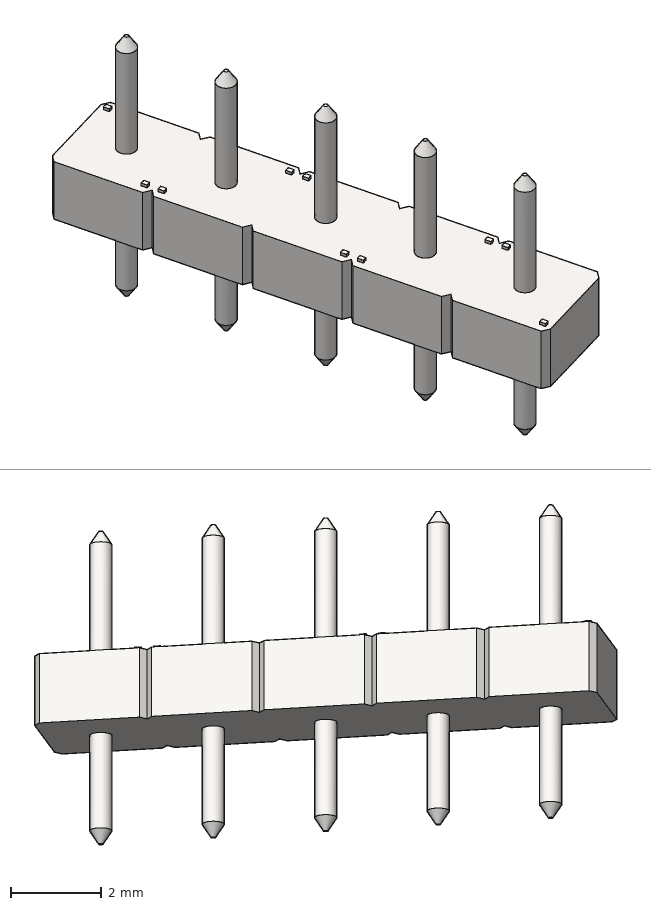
import cadquery as cq


strip_length = 12.7
strip_width = 2.5
strip_height = 1.6
pin_count = 5
pitch = strip_length / pin_count

corner_cut_x = 0.14
corner_cut_y = 0.18

overall_height = 7.2
pin_diameter = 0.5
pin_tip_diameter = 0.1
pin_tip_length = 0.3
pin_length_below = 2.5

nub_length = 0.15
nub_width = 0.11
nub_height = 0.08
nub_inset_x = 0.22
nub_inset_y = 0.25


def make_segment():
    """Strip segment, centred on X and Y, with its four corners cut."""
    half_x = pitch / 2
    half_y = strip_width / 2
    flat_x = half_x - corner_cut_x
    flat_y = half_y - corner_cut_y
    outline = [
        (-flat_x, -half_y),
        (flat_x, -half_y),
        (half_x, -flat_y),
        (half_x, flat_y),
        (flat_x, half_y),
        (-flat_x, half_y),
        (-half_x, flat_y),
        (-half_x, -flat_y),
    ]
    return cq.Workplane("XY").polyline(outline).close().extrude(strip_height)


def make_pin():
    """Round pin running through the strip, with a blunt cone at each end."""
    radius = pin_diameter / 2
    tip_radius = pin_tip_diameter / 2
    bottom = -pin_length_below
    top = bottom + overall_height
    half_profile = [
        (0, bottom),
        (tip_radius, bottom),
        (radius, bottom + pin_tip_length),
        (radius, top - pin_tip_length),
        (tip_radius, top),
        (0, top),
    ]
    return cq.Workplane("XZ").polyline(half_profile).close().revolve(360, (0, 0), (0, 1))


def make_nubs(left_side):
    """Pair of nubs; left_side (+1 or -1) is the Y side of the left-hand one."""
    x = pitch / 2 - nub_inset_x
    y = left_side * (strip_width / 2 - nub_inset_y)
    return (
        cq.Workplane("XY", origin=(0, 0, strip_height))
        .pushPoints([(-x, y), (x, -y)])
        .rect(nub_length, nub_width)
        .extrude(nub_height)
    )


segment = make_segment()
pin = make_pin()

result = cq.Workplane("XY")
for index in range(pin_count):
    position = ((index - (pin_count - 1) / 2) * pitch, 0, 0)
    left_side = 1 if index % 2 == 0 else -1
    for piece in (segment, pin, make_nubs(left_side)):
        result = result.union(piece.translate(position))
result = result.clean()